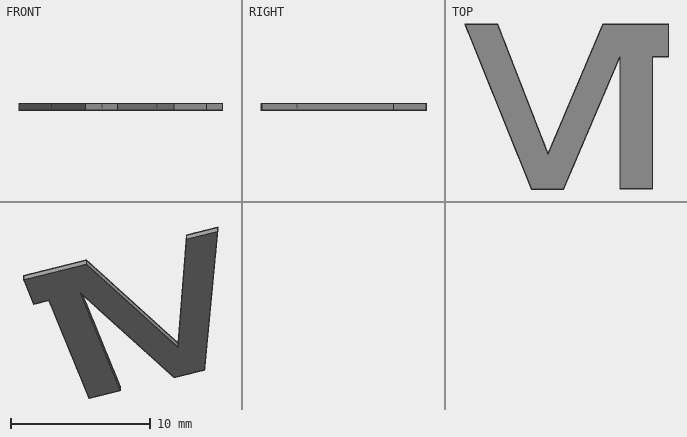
import cadquery as cq

width = 14.61
height = 11.85
thickness = 0.5

stroke_width = 2.35
foot_left = 4.78
foot_right = 7.07
notch_x = 5.96
notch_y = 2.57
right_arm_left = 9.89

post_left = 11.12
post_right = post_left + stroke_width
post_bottom = 0.05
flag_bottom = height - stroke_width

outline = [
    (0, height),
    (stroke_width, height),
    (notch_x, notch_y),
    (right_arm_left, height),
    (width, height),
    (width, flag_bottom),
    (post_right, flag_bottom),
    (post_right, post_bottom),
    (post_left, post_bottom),
    (post_left, flag_bottom),
    (foot_right, 0),
    (foot_left, 0),
]

result = cq.Workplane("XY").polyline(outline).close().extrude(thickness)